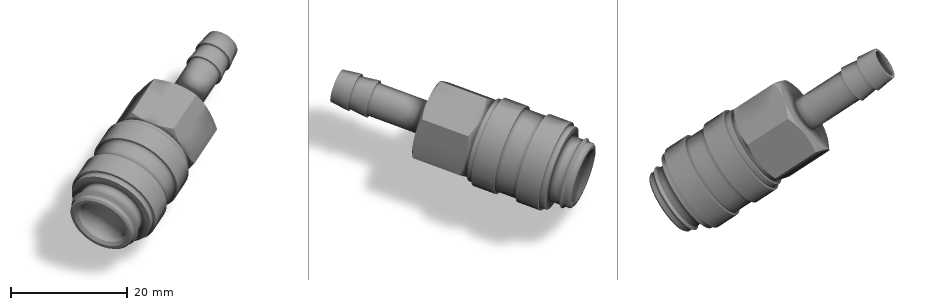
import cadquery as cq
import math

length = 46.0

sleeve_radius = 7.6
band_radius = 8.1
sleeve_start = 4.0
sleeve_end = 18.5
band_width = 4.2
band_inset = 1.0

neck_radius = 6.0
neck_chamfer = 0.3
ring_height = 0.45
ring_center = 1.55

relief_radius = 6.9
washer_start = 19.0
nut_start = 19.15
nut_end = 29.0
nut_corner_radius = band_radius
nut_flat_radius = nut_corner_radius * math.cos(math.pi / 6)
nut_chamfer_angle = math.radians(30)

stem_radius = 3.0
barb_radius = 3.4
barb_length = 3.4
barb_tip_radius = 3.0
barb_count = 2

mouth_radius = 5.0
socket_radius = 4.5
counterbore_radius = 3.55
through_radius = 2.5
socket_end = 11.95
counterbore_end = 14.0


def revolve_about_axis(profile):
    """Revolve a closed (radius, y) profile about the Y axis."""
    return cq.Workplane("XY").polyline(profile).close().revolve(360, (0, 0, 0), (0, 1, 0))


def cylinder(radius, start, end):
    """Cylinder along the Y axis between two stations."""
    return revolve_about_axis([(0, start), (radius, start), (radius, end), (0, end)])


def make_neck():
    neck = revolve_about_axis([
        (0, 0),
        (neck_radius - neck_chamfer, 0),
        (neck_radius, neck_chamfer),
        (neck_radius, sleeve_start),
        (0, sleeve_start),
    ])
    snap_ring = revolve_about_axis([
        (0, ring_center - ring_height),
        (neck_radius, ring_center - ring_height),
        (neck_radius + ring_height, ring_center),
        (neck_radius, ring_center + ring_height),
        (0, ring_center + ring_height),
    ])
    return neck.union(snap_ring)


def make_sleeve():
    sleeve = cylinder(sleeve_radius, sleeve_start, sleeve_end)
    front_band_start = sleeve_start + band_inset
    rear_band_start = sleeve_end - band_inset - band_width
    for start in (front_band_start, rear_band_start):
        sleeve = sleeve.union(cylinder(band_radius, start, start + band_width))
    return sleeve


def make_nut():
    """Hexagon with corners on the X axis, both ends turned down to the flats."""
    hexagon = (
        cq.Workplane("XZ", origin=(0, nut_start, 0))
        .polygon(6, 2 * nut_corner_radius)
        .extrude(nut_start - nut_end)
    )
    chamfer_depth = (nut_corner_radius - nut_flat_radius) * math.tan(nut_chamfer_angle)
    turned_envelope = revolve_about_axis([
        (0, nut_start),
        (nut_flat_radius, nut_start),
        (nut_corner_radius, nut_start + chamfer_depth),
        (nut_corner_radius, nut_end - chamfer_depth),
        (nut_flat_radius, nut_end),
        (0, nut_end),
    ])
    washer_face = cylinder(nut_flat_radius, washer_start, nut_start)
    return hexagon.intersect(turned_envelope).union(washer_face)


def make_hose_stem():
    barbs_start = length - barb_count * barb_length
    stem = cylinder(stem_radius, nut_end, barbs_start)
    for index in range(barb_count):
        start = barbs_start + index * barb_length
        end = start + barb_length
        barb = revolve_about_axis([(0, start), (barb_radius, start), (barb_tip_radius, end), (0, end)])
        stem = stem.union(barb)
    return stem


def make_bore():
    return revolve_about_axis([
        (0, 0),
        (mouth_radius, 0),
        (socket_radius, mouth_radius - socket_radius),
        (socket_radius, socket_end),
        (counterbore_radius, socket_end),
        (counterbore_radius, counterbore_end),
        (through_radius, counterbore_end),
        (through_radius, length),
        (0, length),
    ])


relief = cylinder(relief_radius, sleeve_end, washer_start)

body = make_neck().union(make_sleeve()).union(relief).union(make_nut()).union(make_hose_stem())
result = body.cut(make_bore())